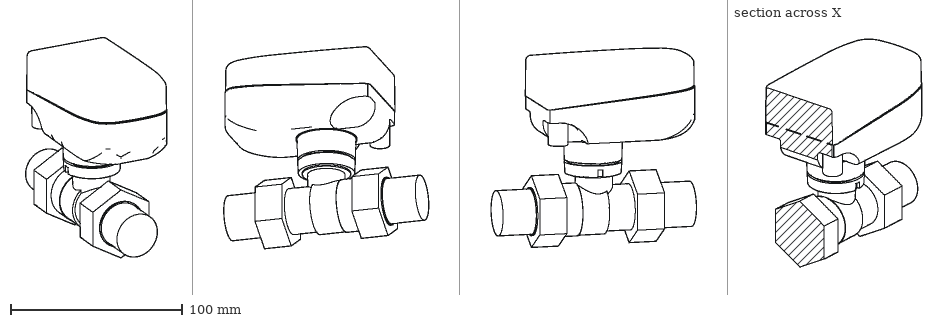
import cadquery as cq
import math


pipe_length = 117.2
pipe_radius = 13.3
collar_radius = 14.1
collar_end = 38.5
nut_flats = 36.94
nut_inner_x = 21.4
nut_outer_x = 37.8
body_left_radius = 15.55
body_mid_radius = 15.2
body_right_radius = 13.55
body_mid_start = -10.8
body_mid_end = 5.4
stem_radius = 10.95

neck_x = -0.3
housing_y = 0.5
plate_radius = 14.2
plate_bottom = 20.6
ring_bottom = 21.4
ring_top = 28.1
ring_bottom_radius = 16.5
ring_top_radius = 16.9
groove_radius = 15.3
groove_flats = 28.8
neck_bottom = 29.4
neck_bottom_radius = 16.9
neck_top_radius = 17.25
rim_radius = 17.9
rim_height = 0.4
slot_width = 3.1
slot_height = 4.2
slot_depth = 2.2

housing_bottom = 42.65
housing_top = 89.22
roof_apex_x = 35.0
roof_radius = 2450.0
half_width = 27.1
rear_half_width = 26.7
upper_rear_x = -34.95
upper_nose_x = 58.7
lower_rear_x = -34.5
lower_nose_x = 58.92
nose_start_x = 26.3
nose_radius = 70.0
nose_corner_radius = 14.0
shoulder_radius = 83.0
side_radius = 4600.0
cover_draft = 0.45
corner_radius = 3.5
top_edge_radius = 3.0
bottom_edge_radius = 5.0
bottom_nose_radius = 13.0
nose_dish_inset = 6.5
nose_dish_radius = 14.0
nose_dish_drop = 0.3
bottom_rear_radius = 12.0
part_rear_z = 64.3
part_nose_z = 73.0
part_gap_nose = 0.8
part_gap_depth = 0.9

recess_inner_y = 14.1
recess_top = 56.5
recess_arc_center_x = -28.0
recess_arc_radius = 18.5
recess_edge_radius = 1.5
post_radius = 5.8
post_x = -26.9
post_y = -18.9
post_bottom = 42.3
post_edge_radius = 0.6

overlap = 0.5
margin = 10.0


def rod(radius, x_start, x_end):
    """Round bar along X."""
    return cq.Workplane("YZ", origin=(x_start, 0, 0)).circle(radius).extrude(x_end - x_start)


def nut(x_start):
    """Hexagon nut with corners pointing up and down."""
    hexagon = cq.Workplane("YZ", origin=(x_start, 0, 0))
    hexagon = hexagon.transformed(rotate=(0, 0, 90))
    hexagon = hexagon.polygon(6, nut_flats / math.cos(math.pi / 6))
    return hexagon.extrude(nut_outer_x - nut_inner_x)


def valve():
    """Straight valve with a nut, collar and pipe stub on each side."""
    solid = rod(pipe_radius, -pipe_length / 2, pipe_length / 2)
    solid = solid.union(rod(collar_radius, -collar_end, -nut_inner_x))
    solid = solid.union(rod(collar_radius, nut_inner_x, collar_end))
    solid = solid.union(nut(-nut_outer_x))
    solid = solid.union(nut(nut_inner_x))
    solid = solid.union(rod(body_left_radius, -nut_inner_x, body_mid_start))
    solid = solid.union(rod(body_mid_radius, body_mid_start, body_mid_end))
    solid = solid.union(rod(body_right_radius, body_mid_end, nut_inner_x))
    stem = cq.Workplane("XY").circle(stem_radius).extrude(plate_bottom + overlap)
    return solid.union(stem)


def neck():
    """Turned neck, flatted groove and slotted clamping ring."""
    profile = [
        (0, plate_bottom),
        (plate_radius, plate_bottom),
        (plate_radius, ring_bottom),
        (ring_bottom_radius, ring_bottom),
        (ring_top_radius, ring_top),
        (groove_radius, ring_top),
        (groove_radius, neck_bottom),
        (neck_bottom_radius, neck_bottom),
        (neck_top_radius, housing_bottom - rim_height),
        (rim_radius, housing_bottom - rim_height),
        (rim_radius, housing_bottom + overlap),
        (0, housing_bottom + overlap),
    ]
    solid = cq.Workplane("XZ").polyline(profile).close().revolve(360, (0, 0, 0), (0, 1, 0))
    for side in (-1, 1):
        flat = cq.Workplane("XY", origin=(0, side * (groove_flats / 2 + margin / 2), ring_top))
        solid = solid.cut(flat.rect(4 * margin, margin).extrude(neck_bottom - ring_top))
    slot = cq.Workplane("XY", origin=(0, -ring_top_radius, ring_bottom))
    solid = solid.cut(slot.rect(slot_width, 2 * slot_depth).extrude(slot_height))
    return solid.translate((neck_x, housing_y, 0))


def plan_outline(rear_x, nose_x, z, inset=0.0):
    """Housing plan: straight rear, slightly bowed sides and a full nose of tangent arcs."""
    side_y = half_width - inset
    rear_y = rear_half_width - inset
    rear_x = rear_x + inset
    nose_x = nose_x - inset
    nose_center_x = nose_x - nose_radius
    shoulder_center_y = side_y - shoulder_radius
    to_shoulder = (nose_start_x - nose_center_x, shoulder_center_y)
    spacing = math.hypot(*to_shoulder)
    nose_reach = nose_radius - nose_corner_radius
    shoulder_reach = shoulder_radius - nose_corner_radius
    along = (nose_reach**2 - shoulder_reach**2 + spacing**2) / (2 * spacing)
    across = math.sqrt(nose_reach**2 - along**2)
    corner_x = nose_center_x + (along * to_shoulder[0] - across * to_shoulder[1]) / spacing
    corner_y = (along * to_shoulder[1] + across * to_shoulder[0]) / spacing
    shoulder_scale = shoulder_radius / shoulder_reach
    nose_scale = nose_radius / nose_reach
    shoulder_end_x = nose_start_x + (corner_x - nose_start_x) * shoulder_scale
    shoulder_end_y = shoulder_center_y + (corner_y - shoulder_center_y) * shoulder_scale
    nose_end_x = nose_center_x + (corner_x - nose_center_x) * nose_scale
    nose_end_y = corner_y * nose_scale
    return (
        cq.Workplane("XY", origin=(0, 0, z))
        .moveTo(nose_start_x, side_y)
        .radiusArc((shoulder_end_x, shoulder_end_y), shoulder_radius)
        .radiusArc((nose_end_x, nose_end_y), nose_corner_radius)
        .radiusArc((nose_end_x, -nose_end_y), nose_radius)
        .radiusArc((shoulder_end_x, -shoulder_end_y), nose_corner_radius)
        .radiusArc((nose_start_x, -side_y), shoulder_radius)
        .radiusArc((rear_x, -rear_y), side_radius)
        .lineTo(rear_x, rear_y)
        .radiusArc((nose_start_x, side_y), side_radius)
        .close()
    )


def across_housing(profile):
    """Prism across the whole housing width from an XZ outline."""
    return profile.close().extrude(2 * half_width, both=True)


def above_parting(nose_drop=0.0):
    """Space above the inclined parting plane, optionally lowered at the nose end."""
    slope = (part_nose_z - part_rear_z) / (lower_nose_x - upper_rear_x)
    x_start = upper_rear_x - margin
    x_end = lower_nose_x + margin
    profile = (
        cq.Workplane("XZ")
        .moveTo(x_start, part_rear_z - slope * margin)
        .lineTo(x_end, part_nose_z + slope * margin - nose_drop)
        .lineTo(x_end, housing_top + margin)
        .lineTo(x_start, housing_top + margin)
    )
    return across_housing(profile)


def below_roof():
    """Space under the slightly crowned roof."""
    roof_reach = roof_apex_x - upper_rear_x + margin
    edge_z = housing_top - roof_radius + math.sqrt(roof_radius**2 - roof_reach**2)
    profile = (
        cq.Workplane("XZ")
        .moveTo(roof_apex_x - roof_reach, housing_bottom)
        .lineTo(roof_apex_x - roof_reach, edge_z)
        .radiusArc((roof_apex_x + roof_reach, edge_z), roof_radius)
        .lineTo(roof_apex_x + roof_reach, housing_bottom)
    )
    return across_housing(profile)


def upper_shell():
    """Drafted cover with rounded rear corners and top edges, cut off at the parting plane."""
    foot_z = part_rear_z - margin
    peak_z = housing_top + margin
    foot = plan_outline(upper_rear_x, upper_nose_x, foot_z).ctx.pendingWires[0]
    peak = plan_outline(upper_rear_x, upper_nose_x, peak_z, cover_draft).ctx.pendingWires[0]
    solid = cq.Workplane(cq.Solid.makeLoft([foot, peak], True))
    solid = solid.faces("<X").edges("not(|Y)").fillet(corner_radius)
    solid = solid.intersect(below_roof())
    solid = solid.faces(">Z").edges().fillet(top_edge_radius)
    return solid.intersect(above_parting())


def below_profile():
    """Side outline of the base with rounded lower ends."""
    return (
        cq.Workplane("XZ")
        .moveTo(lower_rear_x - margin, housing_top)
        .lineTo(lower_rear_x - margin, housing_bottom + bottom_rear_radius)
        .lineTo(lower_rear_x, housing_bottom + bottom_rear_radius)
        .radiusArc((lower_rear_x + bottom_rear_radius, housing_bottom), -bottom_rear_radius)
        .lineTo(lower_nose_x - bottom_nose_radius, housing_bottom)
        .radiusArc((lower_nose_x, housing_bottom + bottom_nose_radius), -bottom_nose_radius)
        .lineTo(lower_nose_x + margin, housing_bottom + bottom_nose_radius)
        .lineTo(lower_nose_x + margin, housing_top)
    )


def nose_underside():
    """Dished cutter that deepens the bottom rounding around the nose corners."""
    inner = half_width - nose_dish_inset
    outer = inner + nose_dish_radius
    low_z = housing_bottom - margin
    arc_start_z = housing_bottom - nose_dish_drop
    high_z = arc_start_z + nose_dish_radius
    dish = (
        cq.Workplane("XZ")
        .moveTo(inner, arc_start_z)
        .radiusArc((outer, high_z), -nose_dish_radius)
        .lineTo(outer + margin, high_z)
        .lineTo(outer + margin, low_z)
        .lineTo(inner, low_z)
        .close()
        .revolve(180, (0, 0, 0), (0, 1, 0))
    )
    return dish.rotate((0, 0, 0), (0, 0, 1), -90).translate((nose_start_x, 0, 0))


def rear_recess(side):
    """Cutter for the recess under one rear corner; side is -1 or +1 along Y."""
    low_z = housing_bottom - margin
    arc_end_z = recess_top - recess_arc_radius
    profile = (
        cq.Workplane("XZ", origin=(0, recess_inner_y, 0))
        .moveTo(lower_rear_x - margin, low_z)
        .lineTo(lower_rear_x - margin, recess_top)
        .lineTo(recess_arc_center_x, recess_top)
        .radiusArc((recess_arc_center_x + recess_arc_radius, arc_end_z), recess_arc_radius)
        .lineTo(recess_arc_center_x + recess_arc_radius, low_z)
        .close()
    )
    cutter = profile.extrude(-2 * half_width)
    cutter = cutter.faces("<Y").edges("not(<Z or <X)").fillet(recess_edge_radius)
    if side < 0:
        cutter = cutter.mirror("XZ")
    return cutter


def lower_shell():
    """Base with rounded underside, a thin parting groove and two rear recesses."""
    height = housing_top - housing_bottom
    solid = plan_outline(lower_rear_x, lower_nose_x, housing_bottom).extrude(height)
    solid = solid.edges("|Z and <X").fillet(corner_radius)
    solid = solid.faces("<Z").edges().fillet(bottom_edge_radius)
    solid = solid.intersect(across_housing(below_profile()))
    solid = solid.cut(nose_underside())
    core = plan_outline(lower_rear_x, lower_nose_x, part_rear_z - margin, part_gap_depth)
    core = core.extrude(margin + part_nose_z - part_rear_z).cut(above_parting())
    solid = solid.cut(above_parting(part_gap_nose)).union(core)
    for side in (-1, 1):
        solid = solid.cut(rear_recess(side))
    return solid


def post():
    """Round post standing down in the -Y recess."""
    base = cq.Workplane("XY", origin=(post_x, post_y, post_bottom))
    pillar = base.circle(post_radius).extrude(recess_top + overlap - post_bottom)
    return pillar.faces("<Z").edges().fillet(post_edge_radius)


housing = upper_shell().union(lower_shell()).translate((0, housing_y, 0))
result = valve().union(neck()).union(housing).union(post())